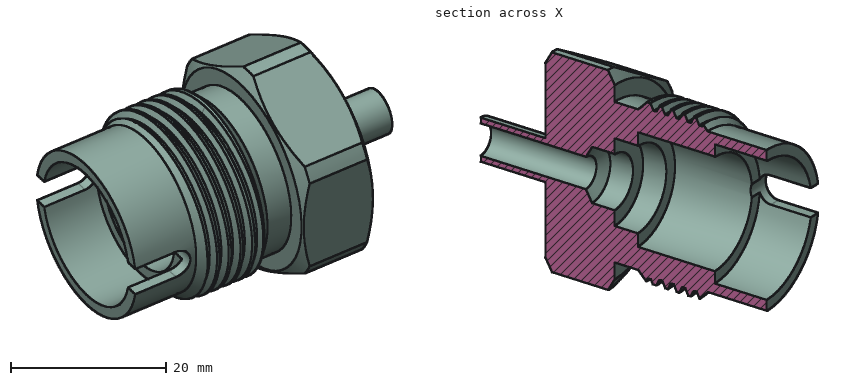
import cadquery as cq
import math

TOTAL_LENGTH = 45.2
THREAD_FRONT = 9.3
THREAD_LENGTH = 11.05
THREAD_BACK = THREAD_FRONT + THREAD_LENGTH
HEX_FRONT = 24.0
HEX_LENGTH = 11.05
HEX_BACK = HEX_FRONT + HEX_LENGTH

TUBE_RADIUS = 11.6
STEM_RADIUS = 3.2
HEX_ACROSS_FLATS = 28.57
HEX_CORNER_RADIUS = 15.85
HEX_FACE_RADIUS = 14.0
HEX_CHAMFER_ANGLE = math.radians(30)

CREST_RADIUS = 13.0
ROOT_RADIUS = 12.05
PITCH = 1.8
FLANK_ANGLE = math.radians(27.5)
ROOT_FLAT = 0.4
GROOVE_START = 7.3
FULL_DEPTH_TURNS = 5.75
RUNOUT_TURNS = 1.5
CUTTER_CLEARANCE = 0.23

BORE_STEPS = [
    (10.0, 8.2),
    (8.25, THREAD_BACK),
    (6.3, HEX_FRONT),
    (4.02, 27.6),
]
STEM_BORE_RADIUS = 2.3
COUNTERSINK_ANGLE = math.radians(60)

SLOT_WIDTH = 4.2
SLOT_DEPTH = 8.4


def revolve_about_y(points):
    """Turn a closed (radius, y) outline about the Y axis, with the seam on the -Z side."""
    solid = cq.Workplane("XY").polyline(points).close().revolve(360, (0, 0, 0), (0, 1, 0))
    return solid.rotate((0, 0, 0), (0, 1, 0), 90)


def make_turned_body():
    thread_chamfer = CREST_RADIUS - TUBE_RADIUS
    return revolve_about_y([
        (0, 0),
        (TUBE_RADIUS, 0),
        (TUBE_RADIUS, THREAD_FRONT),
        (CREST_RADIUS, THREAD_FRONT + thread_chamfer),
        (CREST_RADIUS, THREAD_BACK - thread_chamfer),
        (TUBE_RADIUS, THREAD_BACK),
        (TUBE_RADIUS, HEX_BACK),
        (STEM_RADIUS, HEX_BACK),
        (STEM_RADIUS, TOTAL_LENGTH),
        (0, TOTAL_LENGTH),
    ])


def make_hex():
    """Hexagon with flats on +X and -X, rounded corners and chamfered faces."""
    across_corners = HEX_ACROSS_FLATS / math.cos(math.pi / 6)
    prism = (
        cq.Workplane("XZ", origin=(0, HEX_BACK, 0))
        .transformed(rotate=(0, 0, 30))
        .polygon(6, across_corners)
        .extrude(HEX_LENGTH)
    )
    chamfer = (HEX_CORNER_RADIUS - HEX_FACE_RADIUS) * math.tan(HEX_CHAMFER_ANGLE)
    envelope = revolve_about_y([
        (0, HEX_FRONT),
        (HEX_FACE_RADIUS, HEX_FRONT),
        (HEX_CORNER_RADIUS, HEX_FRONT + chamfer),
        (HEX_CORNER_RADIUS, HEX_BACK - chamfer),
        (HEX_FACE_RADIUS, HEX_BACK),
        (0, HEX_BACK),
    ])
    return prism.intersect(envelope)


def make_helix(radius, start, turns, taper):
    """Right-hand helix about Z whose radius grows by taper over its length."""
    centre = cq.Vector(0, 0, start)
    height = turns * PITCH
    if taper == 0:
        return cq.Wire.makeHelix(PITCH, height, radius, centre)
    cone_angle = math.atan2(taper, height)
    slant = 1 / math.cos(cone_angle)
    return cq.Wire.makeHelix(PITCH * slant, height * slant, radius, centre, angle=math.degrees(cone_angle))


def make_groove_cutter(start, first_turn, turns, taper=0):
    """Helical trapezoid about Y that begins first_turn turns after the +X side."""
    outer_radius = CREST_RADIUS + CUTTER_CLEARANCE
    root_half = ROOT_FLAT / 2
    outer_half = root_half + (outer_radius - ROOT_RADIUS) * math.tan(FLANK_ANGLE)
    corners = [
        (ROOT_RADIUS, -root_half),
        (outer_radius, -outer_half),
        (outer_radius, outer_half),
        (ROOT_RADIUS, root_half),
    ]
    edges = [make_helix(radius, start + offset, turns, taper) for radius, offset in corners]
    faces = [cq.Face.makeRuledSurface(edges[index - 1], edges[index]) for index in range(len(edges))]
    for ends in ([edge.startPoint() for edge in edges], [edge.endPoint() for edge in edges]):
        faces.append(cq.Face.makeFromWires(cq.Wire.makePolygon(ends, close=True)))
    cutter = cq.Solid.makeSolid(cq.Shell.makeShell(faces))
    cutter = cutter.rotate(cq.Vector(), cq.Vector(0, 0, 1), 360 * first_turn)
    return cq.Workplane(cutter.rotate(cq.Vector(), cq.Vector(1, 0, 0), -90))


def make_bore():
    """Stepped bore that ends in a countersink and the hole through the stem."""
    outline = [(0, 0)]
    depth = 0
    for radius, floor in BORE_STEPS:
        outline += [(radius, depth), (radius, floor)]
        depth = floor
    last_radius = BORE_STEPS[-1][0]
    depth += (last_radius - STEM_BORE_RADIUS) / math.tan(COUNTERSINK_ANGLE)
    outline += [(STEM_BORE_RADIUS, depth), (STEM_BORE_RADIUS, TOTAL_LENGTH), (0, TOTAL_LENGTH)]
    return revolve_about_y(outline)


def make_slot():
    """Slot through both sides of the tube along X, with a full-round end."""
    half_width = SLOT_WIDTH / 2
    straight = SLOT_DEPTH - half_width
    return (
        cq.Workplane("YZ")
        .moveTo(0, -half_width)
        .lineTo(straight, -half_width)
        .threePointArc((SLOT_DEPTH, 0), (straight, half_width))
        .lineTo(0, half_width)
        .close()
        .extrude(CREST_RADIUS, both=True)
    )


runout_start = GROOVE_START + FULL_DEPTH_TURNS * PITCH
runout_taper = CREST_RADIUS - ROOT_RADIUS
groove = make_groove_cutter(GROOVE_START, 0, FULL_DEPTH_TURNS)
runout = make_groove_cutter(runout_start, FULL_DEPTH_TURNS, RUNOUT_TURNS, runout_taper)

body = make_turned_body().cut(groove).cut(runout)
result = body.union(make_hex()).cut(make_bore()).cut(make_slot())